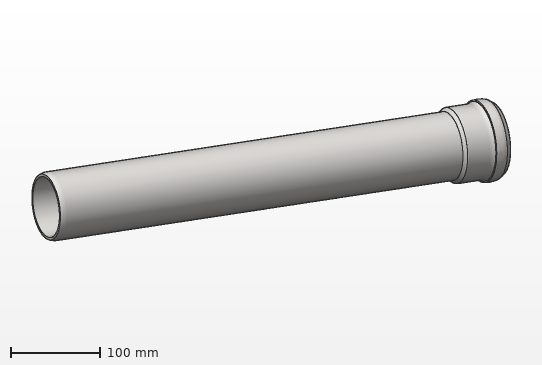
import cadquery as cq
import math

TOTAL_LENGTH = 555.0
PIPE_RADIUS = 78.0 / 2
BORE_RADIUS = 69.0 / 2

TIP_LENGTH = 7.0
TIP_RADIUS = 74.5 / 2

SOCKET_RADIUS = 86.7 / 2
SOCKET_BORE_RADIUS = 78.5 / 2
SHOULDER_FOOT = 57.5
SHOULDER_EDGE = 53.6
SHOULDER_EDGE_RADIUS = 86.0 / 2
SHOULDER_TOP = 52.0

BEAD_RADIUS = 94.4 / 2
BEAD_EDGE_RADIUS = 93.4 / 2
BEAD_FOOT = 25.6
BEAD_FLANK = 19.8
BEAD_FLANK_RADIUS = 90.4 / 2
BEAD_BACK = 19.3
BEAD_FRONT = 9.0
BEAD_CROWN = (BEAD_BACK + BEAD_FRONT) / 2

LIP_BACK = 5.8
LIP_BACK_RADIUS = 92.0 / 2
LIP_FRONT = 2.6
LIP_FRONT_RADIUS = 87.6 / 2
MOUTH_RADIUS = 84.6 / 2


def tangent_arc_middle(length, depth):
    """Middle of an arc that starts parallel to Y and moves radially by `depth` over `length`.

    Returned as (distance along Y, radial distance), both from the tangent point.
    """
    arc_radius = (length**2 + depth**2) / (2 * depth)
    half_angle = math.asin(length / arc_radius) / 2
    return arc_radius * math.sin(half_angle), arc_radius * (1 - math.cos(half_angle))


def revolve_about_pipe_axis(profile):
    return profile.close().revolve(360, (0, 0, 0), (0, 1, 0))


def outer_body():
    tip_along, tip_inward = tangent_arc_middle(TIP_LENGTH, PIPE_RADIUS - TIP_RADIUS)
    tip_start = -TOTAL_LENGTH + TIP_LENGTH
    foot_along, foot_outward = tangent_arc_middle(
        BEAD_FOOT - BEAD_FLANK, BEAD_FLANK_RADIUS - SOCKET_RADIUS
    )
    profile = (
        cq.Workplane("XY")
        .moveTo(0, -TOTAL_LENGTH)
        .lineTo(TIP_RADIUS, -TOTAL_LENGTH)
        .threePointArc(
            (PIPE_RADIUS - tip_inward, tip_start - tip_along),
            (PIPE_RADIUS, tip_start),
        )
        .lineTo(PIPE_RADIUS, -SHOULDER_FOOT)
        .lineTo(SHOULDER_EDGE_RADIUS, -SHOULDER_EDGE)
        .lineTo(SOCKET_RADIUS, -SHOULDER_TOP)
        .lineTo(SOCKET_RADIUS, -BEAD_FOOT)
        .threePointArc(
            (SOCKET_RADIUS + foot_outward, -BEAD_FOOT + foot_along),
            (BEAD_FLANK_RADIUS, -BEAD_FLANK),
        )
        .lineTo(BEAD_EDGE_RADIUS, -BEAD_BACK)
        .threePointArc((BEAD_RADIUS, -BEAD_CROWN), (BEAD_EDGE_RADIUS, -BEAD_FRONT))
        .lineTo(LIP_BACK_RADIUS, -LIP_BACK)
        .lineTo(LIP_FRONT_RADIUS, -LIP_FRONT)
        .lineTo(MOUTH_RADIUS, 0)
        .lineTo(0, 0)
    )
    return revolve_about_pipe_axis(profile)


def inner_cavity():
    """Pipe bore opening into the wider socket bore."""
    profile = (
        cq.Workplane("XY")
        .moveTo(0, -TOTAL_LENGTH)
        .lineTo(BORE_RADIUS, -TOTAL_LENGTH)
        .lineTo(BORE_RADIUS, -SHOULDER_FOOT)
        .lineTo(SOCKET_BORE_RADIUS, -SHOULDER_TOP)
        .lineTo(SOCKET_BORE_RADIUS, 0)
        .lineTo(0, 0)
    )
    return revolve_about_pipe_axis(profile)


result = outer_body().cut(inner_cavity())